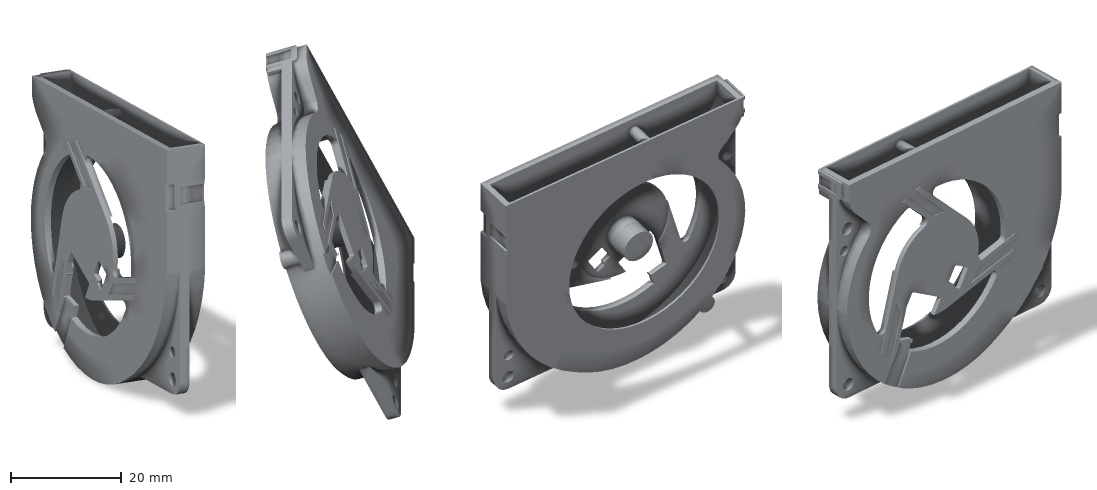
import cadquery as cq
import math


LEFT = -22.3
RIGHT = LEFT + 53.0
TOP = 26.15
DEPTH = 7.85
WALL = 1.1
FRONT_PLATE = 1.25
HUB_PLATE = 0.8
COVER_THICKNESS = 0.4
COVER_Y = DEPTH - COVER_THICKNESS

FLANGE_FRONT = 2.65
FLANGE_BACK = 4.65
FLANGE_BOTTOM = -21.1
FLANGE_CORNER = 2.95
MOUNT_HOLES = [
    (-19.7, 14.9, 1.25),
    (-20.45, 10.5, 1.0),
    (27.75, -13.15, 1.05),
    (27.9, -18.25, 1.25),
    (-19.45, -18.25, 1.25),
]

INLET_RADIUS = 16.85
COVER_INLET_RADIUS = 16.65
HUB_RADIUS = 10.1
SPOKE_ANGLES = (135, 15, 255)
SPOKE_INNER = 6.0
OPENING_CORNER = 1.05
RAISED_HEIGHT = 0.15
RAISED_RADIUS = 19.1
CHANNEL_INNER = 7.0
CHANNEL_OUTER = 9.0
CHANNEL_START = 10.9

WIRING_ANGLE = -30
TERMINAL_WINDOW = (-3.9, 4.3, -12.7, -5.65)
SENSOR_HOLE = (4.6, 8.25, -2.8, 0.75)
SENSOR_STEP = (6.35, 8.25, -3.45, -2.65)
CUTOUT_CORNER = 0.25
TAB_START = 14.25
TAB_INNER = 2.4
GROOVE_DEPTH = 0.35

BOSS_RADIUS = 3.2
BOSS_BASE_RADIUS = 3.25
BOSS_BASE_TOP = 3.1
BOSS_TOP = 6.0
PILLAR_RADIUS = 1.05
PILLAR_X = -2.3
PILLAR_Z = 23.1

CLIP_THICKNESS = 0.4
CLIP_SEAT = 0.6
CLIP_FRONT = 1.7
CLIP_CORNER = 0.4
CLIP_BEND = 0.35
SHOULDER_WIDTH = 1.25
SHOULDER_SETBACK = 0.1
SHOULDER_BOTTOM = TOP - 5.0
WINDOW_MARGIN = 0.8
WINDOW_FRONT = 2.8
LATCH_HEIGHT = 0.35
LATCH_CLEARANCE = 0.1
LATCH_RAMP_START = 5.55
LATCH_RAMP_END = 4.1
LEFT_CLIP = (TOP - 3.85, TOP)
RIGHT_CLIP = (TOP - 11.55, TOP - 6.55)

POST_X = -13.85
POST_Z = -19.5
POST_RADIUS = 1.55
EAR_RADIUS = 1.7

FAR = 10.6


def plane_at(y):
    """XZ workplane whose extrusions run towards -Y from the given y."""
    return cq.Workplane("XZ", origin=(0, y, 0))


def disc(radius, y_front, y_back, x=0, z=0):
    return plane_at(y_back).center(x, z).circle(radius).extrude(y_back - y_front)


def block(x0, x1, y0, y1, z0, z1):
    return cq.Workplane("XY").box(x1 - x0, y1 - y0, z1 - z0, centered=False).translate((x0, y0, z0))


def turned_block(bounds, angle, y_front, y_back):
    """Block bounded by (left, right, bottom, top) in a frame turned about the rotor axis."""
    left, right, bottom, top = bounds
    return block(left, right, y_front, y_back, bottom, top).rotate((0, 0, 0), (0, 1, 0), -angle)


def scroll_outline(y, top):
    """Outside of the scroll: outlet duct, tongue and three widening arcs."""
    return (
        plane_at(y)
        .moveTo(RIGHT, top)
        .lineTo(LEFT + CLIP_SEAT, top)
        .lineTo(LEFT + CLIP_SEAT, LEFT_CLIP[0])
        .threePointArc((-20.9, 20.45), (-19.6, 18.9))
        .lineTo(-16.85, 16.1)
        .threePointArc((-16.3, 14.85), (-16.75, 13.3))
        .threePointArc((-21.2, 5.6), (-22.25, -1.15))
        .threePointArc((-12.0, -20.45), (15.15, -21.2))
        .threePointArc((23.95, -13.9), (RIGHT, 2.75))
        .close()
    )


def spoke_band(angle, inner, outer, start, y_front, y_back):
    """Strip along a spoke, between two distances from the axis, starting `start` along it."""
    return turned_block((start, RAISED_RADIUS + FAR, -outer, -inner), angle, y_front, y_back)


def spokes(y_front, y_back):
    bands = [spoke_band(a, SPOKE_INNER, HUB_RADIUS, 0, y_front, y_back) for a in SPOKE_ANGLES]
    return bands[0].union(bands[1]).union(bands[2])


def is_opening_corner(edge):
    """True unless the edge is where a spoke's leading side runs tangent into the hub."""
    place = edge.Center()
    for angle in SPOKE_ANGLES:
        turn = math.radians(angle - 90)
        dx = place.x - HUB_RADIUS * math.cos(turn)
        dz = place.z - HUB_RADIUS * math.sin(turn)
        if math.hypot(dx, dz) < OPENING_CORNER:
            return False
    return True


def inlet_openings():
    """Three openings between hub, spokes and inlet rim."""
    ring = disc(INLET_RADIUS, -FAR, FRONT_PLATE).cut(disc(HUB_RADIUS, -FAR, FRONT_PLATE))
    openings = ring.cut(spokes(-FAR, FRONT_PLATE))
    corners = openings.edges("|Y").filter(is_opening_corner)
    return corners.fillet(OPENING_CORNER)


def terminal_window():
    """Cut into the hub that joins the lowest inlet opening."""
    window = turned_block(TERMINAL_WINDOW, WIRING_ANGLE, -FAR, FRONT_PLATE).edges("|Y").fillet(CUTOUT_CORNER)
    hub_zone = disc(HUB_RADIUS + OPENING_CORNER, -FAR, FRONT_PLATE)
    return window.intersect(hub_zone).cut(spokes(-FAR, FRONT_PLATE))


def wire_tab():
    """Ledge beside the wired spoke that carries the wires out to the groove."""
    return spoke_band(SPOKE_ANGLES[2], TAB_INNER, SPOKE_INNER, TAB_START, -FAR, FRONT_PLATE)


def front_cutouts():
    return inlet_openings().union(terminal_window()).cut(wire_tab()).union(sensor_hole())


def sensor_hole():
    hole = turned_block(SENSOR_HOLE, WIRING_ANGLE, -FAR, FRONT_PLATE)
    step = turned_block(SENSOR_STEP, WIRING_ANGLE, -FAR, FRONT_PLATE)
    return hole.union(step).edges("|Y").fillet(CUTOUT_CORNER)


def raised_spider():
    """Raised hub and spokes, with a channel down the middle of each spoke."""
    spider = disc(HUB_RADIUS + OPENING_CORNER, -RAISED_HEIGHT, 0).union(spokes(-RAISED_HEIGHT, 0))
    for angle in SPOKE_ANGLES:
        channel = spoke_band(angle, CHANNEL_INNER, CHANNEL_OUTER, 0, -RAISED_HEIGHT, 0)
        spider = spider.cut(channel.cut(disc(CHANNEL_START, -RAISED_HEIGHT, 0)))
    return spider.intersect(disc(RAISED_RADIUS, -RAISED_HEIGHT, 0))


def wire_groove():
    points = [(-9.3, -12.3), (-10.0, -14.05), (-14.3, -22.65), (-10.85, -24.85), (-6.45, -15.55), (-6.0, -12.7)]
    return plane_at(GROOVE_DEPTH).polyline(points).close().extrude(FAR)


def flange():
    plate = block(LEFT, RIGHT, FLANGE_FRONT, FLANGE_BACK, FLANGE_BOTTOM, LEFT_CLIP[0])
    plate = plate.edges("|Y and <Z").fillet(FLANGE_CORNER)
    for x, z, radius in MOUNT_HOLES:
        plate = plate.cut(disc(radius, FLANGE_FRONT, FLANGE_BACK, x, z))
    return plate


def shoulder():
    """Block under the left clip, behind the flange, that fills the corner beside the duct."""
    x0 = LEFT + SHOULDER_SETBACK
    return block(x0, LEFT + SHOULDER_WIDTH, FLANGE_BACK, COVER_Y, SHOULDER_BOTTOM, LEFT_CLIP[0])


def latch(seat_x, outward, clip):
    """Wedge on the seat of a clip: a ramp from the back, then a flat up to the catching face."""
    bottom = clip[0] + WINDOW_MARGIN + LATCH_CLEARANCE
    top = clip[1] - WINDOW_MARGIN - LATCH_CLEARANCE
    crest = seat_x + outward * LATCH_HEIGHT
    catch_y = WINDOW_FRONT + LATCH_CLEARANCE
    profile = [(seat_x, LATCH_RAMP_START), (crest, LATCH_RAMP_END), (crest, catch_y), (seat_x, catch_y)]
    return cq.Workplane("XY", origin=(0, 0, bottom)).polyline(profile).close().extrude(top - bottom)


def make_housing():
    body = scroll_outline(COVER_Y, TOP).extrude(COVER_Y).union(flange())
    body = body.union(shoulder())
    body = body.union(disc(POST_RADIUS, FLANGE_BACK, COVER_Y, POST_X, POST_Z))
    cavity = scroll_outline(COVER_Y, TOP + FAR).offset2D(-WALL).extrude(COVER_Y - FRONT_PLATE)
    body = body.cut(cavity)
    body = body.cut(block(RIGHT - CLIP_SEAT, RIGHT, 0, DEPTH, *RIGHT_CLIP))
    body = body.union(latch(LEFT + CLIP_SEAT, -1, LEFT_CLIP)).union(latch(RIGHT - CLIP_SEAT, 1, RIGHT_CLIP))
    body = body.cut(disc(HUB_RADIUS, HUB_PLATE, FRONT_PLATE))
    body = body.union(disc(BOSS_BASE_RADIUS, 0, BOSS_BASE_TOP)).union(disc(BOSS_RADIUS, 0, BOSS_TOP))
    body = body.union(disc(PILLAR_RADIUS, 0, COVER_Y, PILLAR_X, PILLAR_Z))
    body = body.union(raised_spider())
    return body.cut(front_cutouts()).cut(wire_groove())


def clip_tab(outer_x, outward, clip):
    """Cover tab that bends forward over a latch, with a window for the latch, open to the back."""
    x0, x1 = sorted((outer_x, outer_x - outward * CLIP_THICKNESS))
    bottom, top = clip
    outer_side = ">X" if outward > 0 else "<X"
    tab = block(x0, x1, CLIP_FRONT, DEPTH, bottom, top).edges("|X and <Y").fillet(CLIP_CORNER)
    tab = tab.edges(f"{outer_side} and >Y").fillet(CLIP_BEND)
    return tab.cut(block(x0, x1, WINDOW_FRONT, DEPTH, bottom + WINDOW_MARGIN, top - WINDOW_MARGIN))


def make_cover():
    plate = scroll_outline(DEPTH, TOP).extrude(COVER_THICKNESS)
    plate = plate.union(block(LEFT + CLIP_THICKNESS, LEFT + CLIP_SEAT, COVER_Y, DEPTH, *LEFT_CLIP))
    plate = plate.cut(block(RIGHT - CLIP_THICKNESS, RIGHT, COVER_Y, DEPTH, *RIGHT_CLIP))
    plate = plate.union(clip_tab(LEFT, -1, LEFT_CLIP)).union(clip_tab(RIGHT, 1, RIGHT_CLIP))
    plate = plate.union(disc(EAR_RADIUS, COVER_Y, DEPTH, POST_X, POST_Z))
    return plate.cut(disc(COVER_INLET_RADIUS, COVER_Y, DEPTH))


housing = make_housing()
cover = make_cover()
result = cq.Compound.makeCompound([housing.solids().val(), cover.solids().val()])